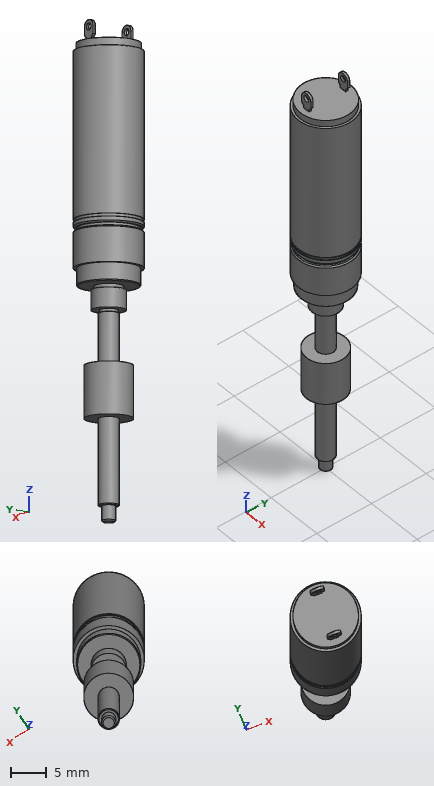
import cadquery as cq

total_height = 71.45
body_diameter = 10.0

tip_top = 2.3
nut_bottom = 14.8
nut_height = 7.6
shaft_top = 29.9
hub_bottom = 30.3
hub_top = 33.15
flange_bottom = 33.7
gearbox_bottom = 36.3
gearbox_top = 41.6
ring_bottom = 42.0
ring_top = 42.8
body_bottom = 43.2
body_top = 67.3
cap_top = 68.45

tip_diameter = 2.0
shaft_diameter = 3.0
shaft_neck_diameter = 2.7
nut_diameter = 7.0
hub_diameter = 5.0
hub_neck_diameter = 4.2
flange_diameter = 9.0
groove_diameter = 9.0
joint_diameter = 9.7
cap_diameter = 9.2

edge_chamfer = 0.2
shaft_chamfer = 0.15
flange_chamfer = 0.15

terminal_width = 2.0
terminal_hole_diameter = 1.0
terminal_thickness = 0.4
terminal_offset = 3.35
terminal_stem_width = 1.2
terminal_stem_top = 68.9
terminal_shoulder = 69.3


def cylinder(diameter, bottom, top):
    """Cylinder on the Z axis between two heights."""
    return cq.Workplane("XY").workplane(offset=bottom).circle(diameter / 2).extrude(top - bottom)


def make_terminal(center_y):
    """Upright tab with a round, pierced head and a narrow stem."""
    half_width = terminal_width / 2
    half_stem = terminal_stem_width / 2
    head_center = total_height - half_width
    plane = cq.Workplane("XZ", origin=(0, center_y, 0))
    tab = (
        plane.moveTo(-half_stem, cap_top)
        .lineTo(-half_stem, terminal_stem_top)
        .lineTo(-half_width, terminal_shoulder)
        .lineTo(-half_width, head_center)
        .threePointArc((0, total_height), (half_width, head_center))
        .lineTo(half_width, terminal_shoulder)
        .lineTo(half_stem, terminal_stem_top)
        .lineTo(half_stem, cap_top)
        .close()
        .extrude(terminal_thickness / 2, both=True)
    )
    hole = plane.center(0, head_center).circle(terminal_hole_diameter / 2)
    return tab.cut(hole.extrude(terminal_thickness, both=True))


tip = cylinder(tip_diameter, 0, tip_top).faces("<Z").chamfer(edge_chamfer)
shaft = cylinder(shaft_diameter, tip_top, shaft_top).faces("<Z").chamfer(shaft_chamfer)
nut = cylinder(nut_diameter, nut_bottom, nut_bottom + nut_height)

shaft_neck = cylinder(shaft_neck_diameter, shaft_top, hub_bottom)
hub = cylinder(hub_diameter, hub_bottom, hub_top)
hub_neck = cylinder(hub_neck_diameter, hub_top, flange_bottom)

flange = cylinder(flange_diameter, flange_bottom, gearbox_bottom).faces("<Z").chamfer(flange_chamfer)
gearbox = cylinder(body_diameter, gearbox_bottom, gearbox_top).faces(">Z").chamfer(edge_chamfer)
groove = cylinder(groove_diameter, gearbox_top, ring_bottom)

ring = cylinder(body_diameter, ring_bottom, ring_top).faces("<Z").chamfer(edge_chamfer)
joint = cylinder(joint_diameter, ring_top, body_bottom)
body = cylinder(body_diameter, body_bottom, body_top)
cap = cylinder(cap_diameter, body_top, cap_top)

result = tip
for section in (
    shaft, nut, shaft_neck, hub, hub_neck, flange, gearbox, groove, ring, joint, body, cap,
):
    result = result.union(section)
for side in (-1, 1):
    result = result.union(make_terminal(side * terminal_offset))